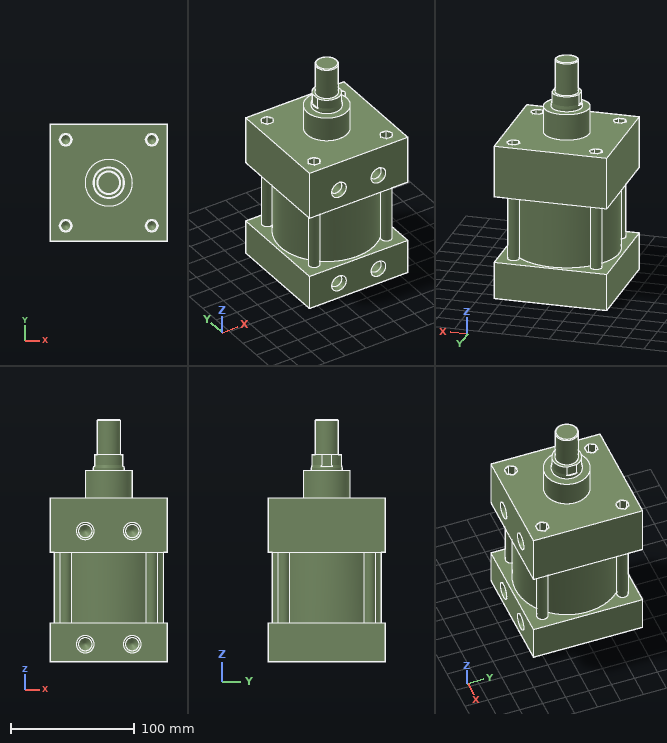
import cadquery as cq
import math

HEAD_WIDTH = 95.3
CAP_HEAD_TOP = 31.7
ROD_HEAD_BOTTOM = 89.0
ROD_HEAD_TOP = 133.3
TUBE_DIAMETER = 89.0

TIE_ROD_SPACING = 69.9
TIE_ROD_DIAMETER = 9.5
SOCKET_ACROSS_FLATS = 9.5
SOCKET_DEPTH = 9.5
SOCKET_MOUTH_DIAMETER = 10.0
SOCKET_DRILL_DIAMETER = 8.3
DRILL_POINT_ANGLE = 118

PORT_SPACING = 38.2
PORT_MOUTH_DIAMETER = 14.2
PORT_BORE_DIAMETER = 10.8
PORT_COUNTERSINK_DEPTH = 4.1
PORT_DEPTH = 15.7
CAP_PORT_HEIGHT = 14.4
ROD_PORT_HEIGHT = 106.3

BOSS_DIAMETER = 38.2
BOSS_TOP = 155.5

COLLAR_DIAMETER = 25.4
COLLAR_TOP = 157.3
WRENCH_DIAMETER = 24.2
WRENCH_BOTTOM = 159.8
WRENCH_TOP = 168.3
FLATS_WIDTH = 22.8
FLATS_BOTTOM = 158.9
ROD_DIAMETER = 19.0
ROD_TOP = 196.8
ROD_CHAMFER = 0.8


def drill_point_height(diameter):
    """Height of the conical point that a drill leaves at the end of a hole."""
    return diameter / 2 / math.tan(math.radians(DRILL_POINT_ANGLE / 2))


def make_tie_rod(x, y):
    """Plain rod between the two heads."""
    length = ROD_HEAD_BOTTOM - CAP_HEAD_TOP
    return cq.Workplane("XY", origin=(x, y, CAP_HEAD_TOP)).circle(TIE_ROD_DIAMETER / 2).extrude(length)


def make_socket(x, y):
    """Hexagon socket sunk into the rod head: chamfered mouth, flats facing +Y and -Y, drill point."""
    across_corners = SOCKET_ACROSS_FLATS / math.cos(math.pi / 6)
    hexagon = (
        cq.Workplane("XY", origin=(x, y, ROD_HEAD_TOP))
        .polygon(6, across_corners)
        .extrude(-SOCKET_DEPTH)
    )
    mouth_radius = SOCKET_MOUTH_DIAMETER / 2
    flat_radius = SOCKET_ACROSS_FLATS / 2
    drill_radius = SOCKET_DRILL_DIAMETER / 2
    chamfer_depth = mouth_radius - flat_radius
    tip_depth = SOCKET_DEPTH + drill_point_height(SOCKET_DRILL_DIAMETER)
    profile = [
        (0, 0),
        (mouth_radius, 0),
        (flat_radius, -chamfer_depth),
        (drill_radius, -chamfer_depth),
        (drill_radius, -SOCKET_DEPTH),
        (0, -tip_depth),
    ]
    chamfer_and_point = (
        cq.Workplane("XZ", origin=(x, y, ROD_HEAD_TOP))
        .polyline(profile)
        .close()
        .revolve(360, (0, 0, 0), (0, 1, 0))
    )
    return hexagon.union(chamfer_and_point)


def make_port(x, z):
    """Drilled hole into the front face of a head, with a steep countersink and a drill point."""
    mouth_radius = PORT_MOUTH_DIAMETER / 2
    bore_radius = PORT_BORE_DIAMETER / 2
    tip_depth = PORT_DEPTH + drill_point_height(PORT_BORE_DIAMETER)
    profile = [
        (0, 0),
        (mouth_radius, 0),
        (bore_radius, PORT_COUNTERSINK_DEPTH),
        (bore_radius, PORT_DEPTH),
        (0, tip_depth),
    ]
    return (
        cq.Workplane("XY", origin=(x, -HEAD_WIDTH / 2, z))
        .polyline(profile)
        .close()
        .revolve(360, (0, 0, 0), (0, 1, 0))
    )


def make_housing():
    """Both heads, the tube, the tie rods and the boss as one solid."""
    housing = cq.Workplane("XY").rect(HEAD_WIDTH, HEAD_WIDTH).extrude(CAP_HEAD_TOP)
    rod_head = (
        cq.Workplane("XY", origin=(0, 0, ROD_HEAD_BOTTOM))
        .rect(HEAD_WIDTH, HEAD_WIDTH)
        .extrude(ROD_HEAD_TOP - ROD_HEAD_BOTTOM)
    )
    tube = (
        cq.Workplane("XY", origin=(0, 0, CAP_HEAD_TOP))
        .circle(TUBE_DIAMETER / 2)
        .extrude(ROD_HEAD_BOTTOM - CAP_HEAD_TOP)
    )
    boss = (
        cq.Workplane("XY", origin=(0, 0, ROD_HEAD_TOP))
        .circle(BOSS_DIAMETER / 2)
        .extrude(BOSS_TOP - ROD_HEAD_TOP)
    )
    housing = housing.union(tube).union(rod_head).union(boss)

    for x in (-TIE_ROD_SPACING / 2, TIE_ROD_SPACING / 2):
        for y in (-TIE_ROD_SPACING / 2, TIE_ROD_SPACING / 2):
            housing = housing.union(make_tie_rod(x, y)).cut(make_socket(x, y))

    for x in (-PORT_SPACING / 2, PORT_SPACING / 2):
        for z in (CAP_PORT_HEIGHT, ROD_PORT_HEIGHT):
            housing = housing.cut(make_port(x, z))
    return housing


def make_wrench_flat(side):
    """Block that cuts one wrench flat; side is -1 for the -X flat and 1 for the +X flat."""
    block_depth = COLLAR_DIAMETER - FLATS_WIDTH
    center_x = side * (FLATS_WIDTH + block_depth) / 2
    return (
        cq.Workplane("XY", origin=(center_x, 0, FLATS_BOTTOM))
        .rect(block_depth, COLLAR_DIAMETER)
        .extrude(WRENCH_TOP - FLATS_BOTTOM)
    )


def make_piston_rod():
    """Turned rod standing on the boss, with two wrench flats."""
    collar_radius = COLLAR_DIAMETER / 2
    wrench_radius = WRENCH_DIAMETER / 2
    rod_radius = ROD_DIAMETER / 2
    profile = [
        (0, BOSS_TOP),
        (collar_radius, BOSS_TOP),
        (collar_radius, COLLAR_TOP),
        (wrench_radius, WRENCH_BOTTOM),
        (wrench_radius, WRENCH_TOP),
        (rod_radius, WRENCH_TOP),
        (rod_radius, ROD_TOP - ROD_CHAMFER),
        (rod_radius - ROD_CHAMFER, ROD_TOP),
        (0, ROD_TOP),
    ]
    rod = cq.Workplane("XZ").polyline(profile).close().revolve(360, (0, 0, 0), (0, 1, 0))
    for side in (-1, 1):
        rod = rod.cut(make_wrench_flat(side))
    return rod


housing = make_housing()
piston_rod = make_piston_rod()
result = cq.Compound.makeCompound([housing.val(), piston_rod.val()])